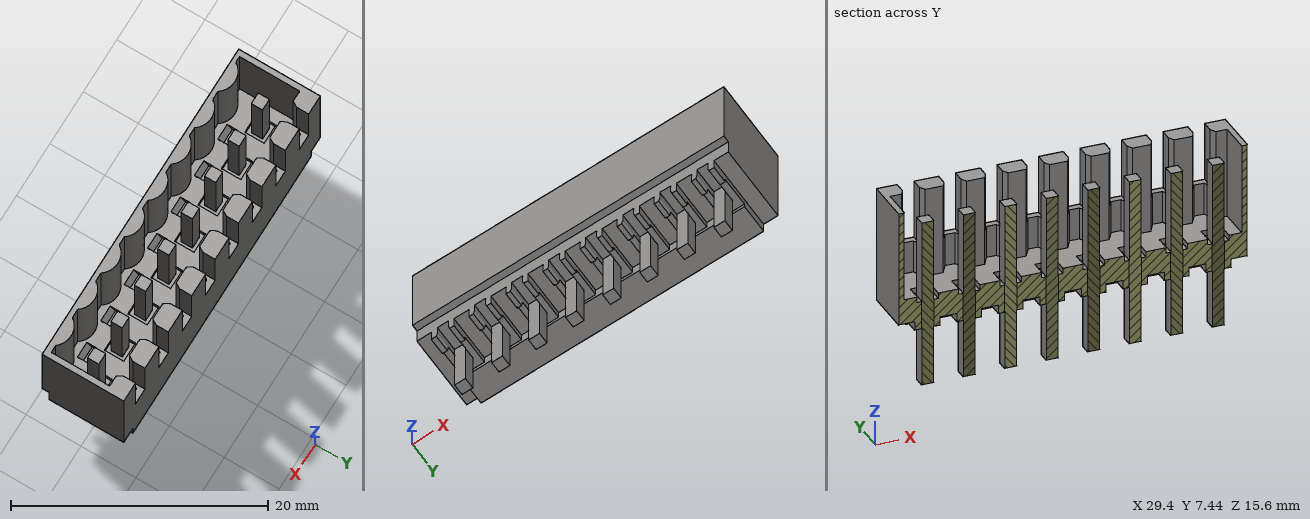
import cadquery as cq
import math


pin_count = 8
pitch = 3.5
pin_size = 1.03
pin_top = 8.65
pin_bottom = -5.7

length = 29.4
back_y = 3.97
front_y = -3.47
top_z = 9.85
base_front_y = -2.85
base_top_z = 1.68

end_wall = 0.5
cavity_back_y = 2.38
cavity_front_y = -3.03
cavity_left_front_y = -3.1
cavity_right_front_y = -2.95
floor_z = base_top_z + end_wall
pocket_depth = 0.47
pin_recess_size = 1.75

scallop_crest_y = -2.32
scallop_radius = 1.68

groove_bottom_y = 3.38
groove_bottom_width = 0.82
groove_flank_angle = 30.0
back_slot_width = 1.4
back_slot_depth = 4.95

between_width = back_slot_width
between_pocket_back_y = -1.5
between_pocket_front_y = -2.38

feet_length = 26.7
feet_height = 1.15
channel_half_width = 1.32
channel_depth = 0.4
pin_slot_top_z = 0.18
pin_slot_flare_angle = 15.0

pin_xs = [(i - (pin_count - 1) / 2) * pitch for i in range(pin_count)]
between_xs = [x + pitch / 2 for x in pin_xs[:-1]]


def block(x_center, width, y_min, y_max, z_min, z_max):
    """Axis-aligned box centred on x_center."""
    return (
        cq.Workplane("XY")
        .box(width, y_max - y_min, z_max - z_min, centered=(True, False, False))
        .translate((x_center, y_min, z_min))
    )


def make_shell():
    """Shroud, the narrower base below it, and the strip that the feet are cut from."""
    shroud = block(0, length, front_y, back_y, base_top_z, top_z)
    base = block(0, length, base_front_y, back_y, 0, base_top_z)
    feet = block(0, feet_length, base_front_y, back_y, -feet_height, 0)
    return shroud.union(base).union(feet)


def make_cavity():
    """Open cavity with convex scallops left standing on its front wall.

    The front wall is slightly thinner left of the first scallop and thicker right of the last one.
    """
    middle_length = pin_xs[-1] - pin_xs[0]
    end_length = (length - middle_length) / 2 - end_wall
    end_center = (middle_length + end_length) / 2
    middle = block(0, middle_length, cavity_front_y, cavity_back_y, floor_z, top_z)
    left_end = block(-end_center, end_length, cavity_left_front_y, cavity_back_y, floor_z, top_z)
    right_end = block(end_center, end_length, cavity_right_front_y, cavity_back_y, floor_z, top_z)
    cavity = middle.union(left_end).union(right_end)
    for x in pin_xs:
        scallop = (
            cq.Workplane("XY", origin=(x, scallop_crest_y - scallop_radius, floor_z))
            .circle(scallop_radius)
            .extrude(top_z - floor_z)
        )
        cavity = cavity.cut(scallop)
    return cavity


def make_back_groove(x):
    """Tapered groove in the back wall plus the slot that opens its upper part to the rear."""
    groove_depth = groove_bottom_y - cavity_back_y
    bottom_half = groove_bottom_width / 2
    mouth_half = bottom_half + groove_depth * math.tan(math.radians(groove_flank_angle))
    groove = (
        cq.Workplane("XY", origin=(x, 0, floor_z))
        .polyline([
            (-mouth_half, cavity_back_y),
            (mouth_half, cavity_back_y),
            (bottom_half, groove_bottom_y),
            (-bottom_half, groove_bottom_y),
        ])
        .close()
        .extrude(top_z - floor_z)
    )
    slot = block(x, back_slot_width, cavity_back_y, back_y, top_z - back_slot_depth, top_z)
    return groove.union(slot)


def make_between_pocket(x):
    """Floor pocket with a vertical back wall and a 45 degree front wall."""
    bottom_z = floor_z - pocket_depth
    return (
        cq.Workplane("YZ", origin=(x - between_width / 2, 0, 0))
        .polyline([
            (between_pocket_back_y, floor_z),
            (between_pocket_back_y, bottom_z),
            (between_pocket_front_y + pocket_depth, bottom_z),
            (between_pocket_front_y, floor_z),
        ])
        .close()
        .extrude(between_width)
    )


def make_pin_slot(x):
    """Slot in front of a pin, flared at the bottom of the front feet."""
    half = pin_size / 2
    flare = channel_depth * math.tan(math.radians(pin_slot_flare_angle))
    flare_top_z = channel_depth - feet_height
    return (
        cq.Workplane("XZ", origin=(x, -half, 0))
        .polyline([
            (-half, pin_slot_top_z),
            (half, pin_slot_top_z),
            (half, flare_top_z),
            (half + flare, -feet_height),
            (-half - flare, -feet_height),
            (-half, flare_top_z),
        ])
        .close()
        .extrude(-half - base_front_y)
    )


def make_pin(x):
    """Straight square pin standing through the housing floor."""
    half = pin_size / 2
    return block(x, pin_size, -half, half, pin_bottom, pin_top)


def make_housing():
    """Shrouded housing with matching square holes for the pins."""
    body = make_shell().cut(make_cavity())
    channel_top_z = channel_depth - feet_height
    channel = block(0, feet_length, -channel_half_width, channel_half_width, -feet_height, channel_top_z)
    body = body.cut(channel)
    recess_half = pin_recess_size / 2
    for x in pin_xs:
        recess = block(x, pin_recess_size, -recess_half, recess_half, floor_z - pocket_depth, floor_z)
        body = body.cut(make_back_groove(x)).cut(recess).cut(make_pin_slot(x)).cut(make_pin(x))
    for x in between_xs:
        foot_gap = block(x, between_width, base_front_y, channel_half_width, -feet_height, 0)
        body = body.cut(make_between_pocket(x)).cut(foot_gap)
    return body


housing = make_housing()
pins = [make_pin(x) for x in pin_xs]

result = cq.Compound.makeCompound([housing.val(), *[pin.val() for pin in pins]])